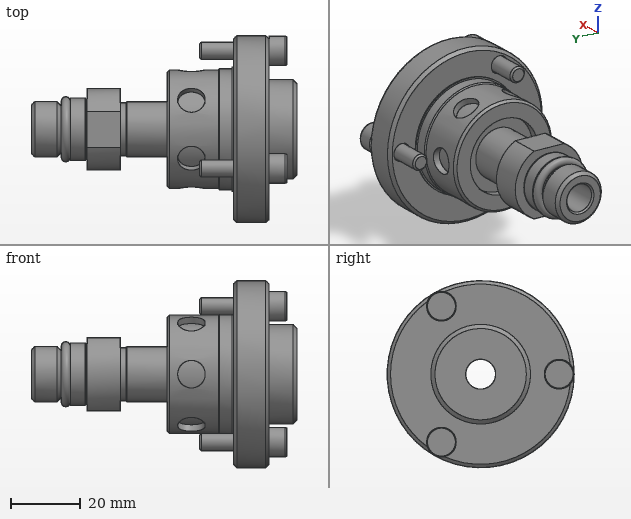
import cadquery as cq
import math


bore_dia = 8.5
bore_mouth_chamfer = 0.5
nose_dia = 15.97
nose_chamfer = 1.0
nose_end = 7.3
seal_groove_dia = 13.5
pilot_dia = 17.99
pilot_start = 11.15
pilot_end = 15.65
pilot_relief_dia = 17.5
wrench_start = 15.95
wrench_end = 25.55
wrench_dia = 23.4
wrench_across_flats = 21.0
stem_relief_dia = 15.3
stem_relief_end = 27.1
stem_dia = 15.86

oring_section_dia = 2.6

sleeve_start = 38.9
sleeve_dia = 34.1
sleeve_chamfer = 0.75
sleeve_recess_dia = 23.4
sleeve_recess_depth = 2.75
sleeve_step_start = 53.6
sleeve_step_length = 0.4
sleeve_shoulder_dia = 34.82
radial_hole_dia = 7.9
radial_hole_x = 45.9
radial_hole_count = 6
radial_hole_floor_dia = 30.0

flange_dia = 53.7
flange_start = 57.9
flange_thickness = 10.3
flange_chamfer = 1.0
flange_end = flange_start + flange_thickness
flange_boss_dia = 35.8
flange_boss_height = 0.4
hub_dia = 28.6
hub_end = 76.2
hub_chamfer = 1.2

screw_count = 3
screw_circle_radius = 22.5
screw_dia = 5.0
screw_length = 20.0
screw_tip_chamfer = 0.55
screw_clearance_dia = 5.5
screw_head_dia = 8.5
screw_head_height = 5.1
screw_head_chamfer = 0.5
screw_head_chamfer_radial = 0.25


def cylinder_x(start, end, diameter, y=0.0, z=0.0):
    """Solid cylinder along X between two X positions."""
    return cq.Workplane("YZ", origin=(start, y, z)).circle(diameter / 2).extrude(end - start)


def revolve_x(profile):
    """Revolve (x, radius) corner points, closed along the axis, about the X axis."""
    first_x = profile[0][0]
    last_x = profile[-1][0]
    points = [(first_x, 0), *profile, (last_x, 0)]
    return cq.Workplane("XY").polyline(points).close().revolve(360, (0, 0, 0), (1, 0, 0))


def make_shaft():
    """Turned shaft with two wrench flats, ending inside the sleeve."""
    nose_radius = nose_dia / 2
    groove_radius = seal_groove_dia / 2
    pilot_radius = pilot_dia / 2
    pilot_relief_radius = pilot_relief_dia / 2
    relief_radius = stem_relief_dia / 2
    stem_radius = stem_dia / 2
    turned = revolve_x([
        (0, nose_radius - nose_chamfer),
        (nose_chamfer, nose_radius),
        (nose_end, nose_radius),
        (nose_end + nose_radius - groove_radius, groove_radius),
        (pilot_start, groove_radius),
        (pilot_start, pilot_radius),
        (pilot_end - pilot_radius + pilot_relief_radius, pilot_radius),
        (pilot_end, pilot_relief_radius),
        (wrench_end, pilot_relief_radius),
        (wrench_end, relief_radius),
        (stem_relief_end, relief_radius),
        (stem_relief_end + stem_radius - relief_radius, stem_radius),
        (flange_start, stem_radius),
    ])
    wrench_length = wrench_end - wrench_start
    flats = cq.Workplane("XY").box(wrench_length, wrench_dia, wrench_across_flats)
    flats = flats.translate(((wrench_start + wrench_end) / 2, 0, 0))
    wrench_collar = cylinder_x(wrench_start, wrench_end, wrench_dia).intersect(flats)
    return turned.union(wrench_collar)


def make_radial_holes():
    """Cutters for the blind holes around the sleeve, with floors on a common cylinder."""
    cutters = cq.Workplane("XY")
    for index in range(radial_hole_count):
        cutter = cq.Workplane("XZ", origin=(radial_hole_x, 0, 0)).circle(radial_hole_dia / 2)
        cutter = cutter.extrude(sleeve_dia)
        angle = index * 360 / radial_hole_count
        cutters = cutters.add(cutter.rotate((0, 0, 0), (1, 0, 0), angle))
    core = cylinder_x(sleeve_start, flange_start, radial_hole_floor_dia)
    return cutters.combine().cut(core)


def make_sleeve():
    """Sleeve with chamfered end, stepped shoulder, end recess and radial holes."""
    sleeve_radius = sleeve_dia / 2
    shoulder_radius = sleeve_shoulder_dia / 2
    sleeve = revolve_x([
        (sleeve_start, sleeve_radius - sleeve_chamfer),
        (sleeve_start + sleeve_chamfer, sleeve_radius),
        (sleeve_step_start, sleeve_radius),
        (sleeve_step_start + sleeve_step_length, shoulder_radius),
        (flange_start, shoulder_radius),
    ])
    recess = cylinder_x(sleeve_start, sleeve_start + sleeve_recess_depth, sleeve_recess_dia)
    return sleeve.cut(recess).cut(make_radial_holes())


def make_flange():
    """Chamfered flange with a low boss in front and the hub behind."""
    flange = cylinder_x(flange_start, flange_end, flange_dia).edges().chamfer(flange_chamfer)
    boss = cylinder_x(flange_start - flange_boss_height, flange_start, flange_boss_dia)
    hub = cylinder_x(flange_end, hub_end, hub_dia).faces(">X").chamfer(hub_chamfer)
    return flange.union(boss).union(hub)


def screw_positions():
    """(y, z) of each screw, the first one on +Y."""
    angles = [2 * math.pi * index / screw_count for index in range(screw_count)]
    return [(screw_circle_radius * math.cos(a), screw_circle_radius * math.sin(a)) for a in angles]


def make_screw(y, z):
    """Cap screw whose head rests on the rear face of the flange."""
    head_end = flange_end + screw_head_height
    shank = cylinder_x(flange_end - screw_length, flange_end, screw_dia, y, z)
    shank = shank.faces("<X").chamfer(screw_tip_chamfer)
    head = cylinder_x(flange_end, head_end, screw_head_dia, y, z)
    head = head.faces(">X").edges().chamfer(screw_head_chamfer, screw_head_chamfer_radial)
    return shank.union(head)


def make_body():
    """Shaft, sleeve, flange and screws as one solid with a bore right through."""
    body = make_flange().union(make_sleeve()).union(make_shaft())
    for y, z in screw_positions():
        body = body.cut(cylinder_x(flange_start, flange_end, screw_clearance_dia, y, z))
        body = body.union(make_screw(y, z))
    bore_radius = bore_dia / 2
    bore = revolve_x([
        (0, bore_radius + bore_mouth_chamfer),
        (bore_mouth_chamfer, bore_radius),
        (hub_end, bore_radius),
    ])
    return body.cut(bore)


def make_oring():
    """Round-section ring in the seal groove, against the pilot face."""
    section_radius = oring_section_dia / 2
    ring_radius = seal_groove_dia / 2 + section_radius
    center_x = pilot_start - section_radius
    section = cq.Workplane("XY").center(center_x, ring_radius).circle(section_radius)
    return section.revolve(360, (0, -ring_radius, 0), (1, -ring_radius, 0))


body = make_body()
oring = make_oring()
result = cq.Compound.makeCompound([body.solids().val(), oring.solids().val()])